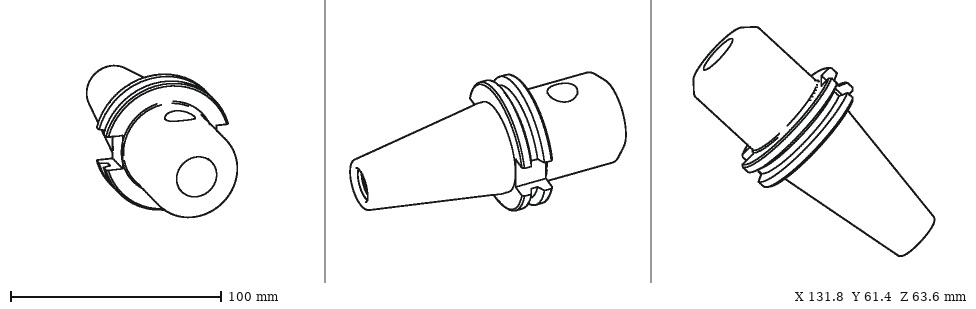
import cadquery as cq
import math

POSITION_TOLERANCE = 0.01

total_length = 131.8
taper_end = 68.1
flange_start = 71.3
flange_width = 16.0
flange_end = flange_start + flange_width
nose_start = 126.3

body_radius = 44.7 / 2
flange_radius = 31.8
groove_radius = 27.9
nose_end_radius = 17.1
taper_slope = 7 / 48
small_end_radius = body_radius - taper_end * taper_slope

groove_floor_width = 3.3
groove_mouth_width = 6.9

small_end_fillet = 1.8
flange_chamfer = 0.9
flange_root_fillet = 0.8
nose_fillet = 1.7
nose_tip_fillet = 1.0

slot_width = 16.7
slot_floors = {-1: 22.4, 1: 24.5}

mouth_radius = 16.9 / 2
mouth_depth = 2.8
mouth_fillet = 0.7
counterbore_radius = 16.3 / 2
counterbore_depth = 4.6
through_radius = 13.5 / 2
tool_bore_radius = 20.0 / 2
tool_bore_depth = 52.0

screw_hole_radius = 14.4 / 2
screw_hole_x = 106.2


def outer_body():
    """Taper, flange and cylindrical nose, turned about the X axis."""
    groove_x = flange_start + flange_width / 2
    profile = (
        cq.Workplane("XY")
        .lineTo(0, small_end_radius)
        .lineTo(taper_end, body_radius)
        .lineTo(flange_start, body_radius)
        .lineTo(flange_start, flange_radius - flange_chamfer)
        .lineTo(flange_start + flange_chamfer, flange_radius)
        .lineTo(groove_x - groove_mouth_width / 2, flange_radius)
        .lineTo(groove_x - groove_floor_width / 2, groove_radius)
        .lineTo(groove_x + groove_floor_width / 2, groove_radius)
        .lineTo(groove_x + groove_mouth_width / 2, flange_radius)
        .lineTo(flange_end - flange_chamfer, flange_radius)
        .lineTo(flange_end, flange_radius - flange_chamfer)
        .lineTo(flange_end, body_radius)
        .lineTo(nose_start, body_radius)
        .lineTo(total_length, nose_end_radius)
        .lineTo(total_length, 0)
        .close()
    )
    body = profile.revolve(360, (0, 0, 0), (1, 0, 0))
    for x, radius, fillet in (
        (0, small_end_radius, small_end_fillet),
        (flange_end, body_radius, flange_root_fillet),
        (nose_start, body_radius, nose_fillet),
        (total_length, nose_end_radius, nose_tip_fillet),
    ):
        body = round_rim(body, x, radius, fillet)
    return body


def round_rim(body, x, rim_radius, fillet):
    """Fillet the circular edge of the given radius about the X axis at station x."""

    def is_rim(edge):
        start = edge.startPoint()
        at_station = math.isclose(start.x, x, abs_tol=POSITION_TOLERANCE)
        return at_station and math.isclose(edge.radius(), rim_radius, abs_tol=POSITION_TOLERANCE)

    return body.edges("%CIRCLE").filter(is_rim).fillet(fillet)


def axial_cylinder(start, length, radius):
    return cq.Workplane("YZ", origin=(start, 0, 0)).circle(radius).extrude(length)


def drive_slot(side):
    """Cutter for one drive slot; side is +1 or -1 along Y."""
    floor = slot_floors[side]
    depth = flange_radius - floor
    center = (flange_start + flange_width / 2, side * (floor + depth / 2), 0)
    return cq.Workplane("XY", origin=center).box(flange_width, depth, slot_width)


result = outer_body()

for side in slot_floors:
    result = result.cut(drive_slot(side))

for start, length, radius in (
    (0, total_length, through_radius),
    (0, counterbore_depth, counterbore_radius),
    (0, mouth_depth, mouth_radius),
    (total_length - tool_bore_depth, tool_bore_depth, tool_bore_radius),
):
    result = result.cut(axial_cylinder(start, length, radius))
result = round_rim(result, 0, mouth_radius, mouth_fillet)

screw_hole = (
    cq.Workplane("XY", origin=(screw_hole_x, 0, 0)).circle(screw_hole_radius).extrude(flange_radius)
)
result = result.cut(screw_hole)